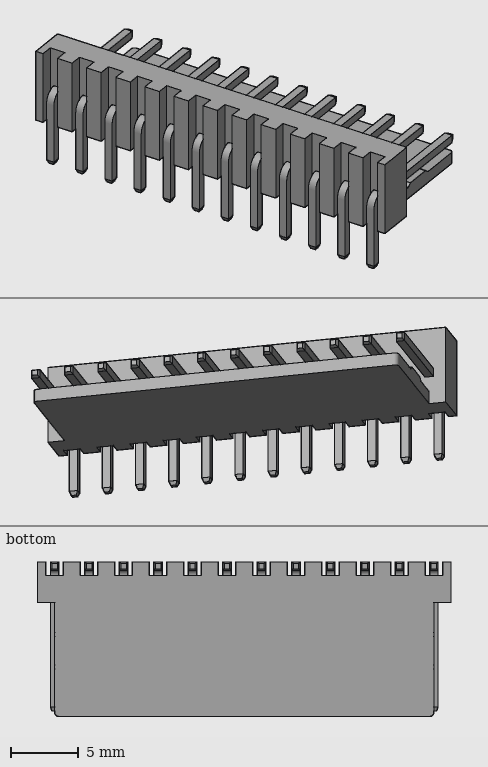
import cadquery as cq


pin_count = 12
pitch = 2.54

housing_length = pin_count * pitch
housing_depth = 3.0
housing_height = 5.9

slot_width = pitch / 2
slot_depth = 1.0

shelf_inset = pitch / 2
shelf_length = housing_length - 2 * shelf_inset
shelf_reach = 8.4
shelf_thickness = 0.95
shelf_corner_radius = 0.3

ridge_height = 0.25
ridge_start = 2.2
ridge_end = 4.9
ridge_slope_run = 0.3

pin_width = 0.64
pin_center_height = 2.44
pin_reach = 8.0
pin_drop = 3.4
bend_outer_radius = 1.0
bend_inner_radius = bend_outer_radius - pin_width
tip_length = 0.3
tip_inset = 0.12

front_y = -housing_depth / 2
back_y = housing_depth / 2
pin_positions = [(i - (pin_count - 1) / 2) * pitch for i in range(pin_count)]


def make_housing():
    """Rectangular block standing on Z = 0."""
    return cq.Workplane("XY").box(
        housing_length, housing_depth, housing_height, centered=(True, True, False)
    )


def make_slot(x):
    """Full-height cutter that opens the front face around one pin."""
    return (
        cq.Workplane("XY")
        .box(slot_width, slot_depth, housing_height, centered=(True, False, False))
        .translate((x, front_y, 0))
    )


def make_shelf():
    """Flat shelf with rounded outer corners and a sloped locking ridge across its top."""
    tip_y = back_y + shelf_reach
    ridge_top = shelf_thickness + ridge_height
    profile = [
        (back_y, 0),
        (tip_y, 0),
        (tip_y, shelf_thickness),
        (back_y + ridge_end, shelf_thickness),
        (back_y + ridge_end - ridge_slope_run, ridge_top),
        (back_y + ridge_start + ridge_slope_run, ridge_top),
        (back_y + ridge_start, shelf_thickness),
        (back_y, shelf_thickness),
    ]
    shelf = cq.Workplane("YZ").polyline(profile).close().extrude(shelf_length / 2, both=True)
    return shelf.faces(">Y").edges("|Z").fillet(shelf_corner_radius)


def make_tip(plane):
    """Tapered pin end growing along the normal of the given plane."""
    end_width = pin_width - 2 * tip_inset
    return (
        cq.Workplane(plane)
        .rect(pin_width, pin_width)
        .workplane(offset=tip_length)
        .rect(end_width, end_width)
        .loft(ruled=True)
    )


def make_pin():
    """Square pin in the plane X = 0: mating leg along +Y, round bend, solder leg along -Z."""
    leg_top = pin_center_height + pin_width / 2
    leg_bottom = leg_top - pin_width
    bend_y = front_y + bend_outer_radius
    bend_z = leg_top - bend_outer_radius
    mating_end = back_y + pin_reach - tip_length
    solder_end = tip_length - pin_drop

    mating_leg = cq.Workplane("XY").box(
        pin_width, mating_end - bend_y, pin_width, centered=(True, False, False)
    ).translate((0, bend_y, leg_bottom))
    solder_leg = cq.Workplane("XY").box(
        pin_width, pin_width, bend_z - solder_end, centered=(True, False, False)
    ).translate((0, front_y, solder_end))

    ring = (
        cq.Workplane("YZ", origin=(0, bend_y, bend_z))
        .circle(bend_outer_radius)
        .circle(bend_inner_radius)
        .extrude(pin_width / 2, both=True)
    )
    quadrant = cq.Workplane("XY").box(
        pin_width, bend_outer_radius, bend_outer_radius, centered=(True, False, False)
    ).translate((0, front_y, bend_z))
    bend = ring.intersect(quadrant)

    mating_tip = make_tip(cq.Plane((0, mating_end, pin_center_height), (1, 0, 0), (0, 1, 0)))
    solder_tip = make_tip(cq.Plane((0, front_y + pin_width / 2, solder_end), (1, 0, 0), (0, 0, -1)))
    return mating_leg.union(bend).union(solder_leg).union(mating_tip).union(solder_tip)


result = make_housing()
for x in pin_positions:
    result = result.cut(make_slot(x))

result = result.union(make_shelf())
pin = make_pin()
for x in pin_positions:
    result = result.union(pin.translate((x, 0, 0)))